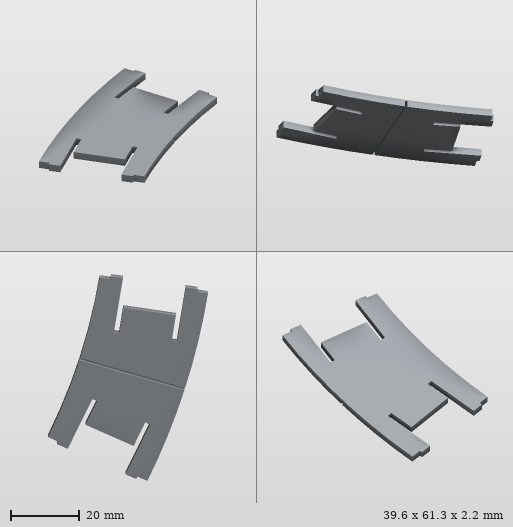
import cadquery as cq
import math

thickness = 2.2
sweep = 16.2
ring_width = 32.25
length_y = 61.3
step_height = 0.85
outer_radius = (length_y - step_height) / math.sin(math.radians(sweep))
inner_radius = outer_radius - ring_width
length_x = outer_radius - inner_radius * math.cos(math.radians(sweep))

leg_inner_edge = 6.75
gap_span = 18.7
slit_width = 1.55
tongue_setback = 8.15
slit_end = 16.25
step_width = 3.5

groove_width = 0.75
groove_depth = 1.85
rim_overrun = 0.6

center_x = outer_radius - length_x / 2
center_y = step_height - length_y / 2


def ring_point(radius, angle):
    """Point on the ring, angle measured clockwise from -X."""
    a = math.radians(angle)
    return (-radius * math.cos(a), radius * math.sin(a))


def box(x_min, x_max, y_min, y_max, height=thickness):
    """Block with its base on the plate's underside."""
    return cq.Workplane("XY").box(
        x_max - x_min, y_max - y_min, height, centered=False
    ).translate((x_min, y_min, 0))


def at_upper_end(shape):
    """Mirror a lower-end feature about the middle radius line."""
    return shape.mirror("XZ").rotate((0, 0, 0), (0, 0, 1), -sweep)


def ring_sector():
    """Plain plate between the two rims and the two end faces."""
    return (
        cq.Workplane("XY")
        .moveTo(*ring_point(outer_radius, 0))
        .threePointArc(ring_point(outer_radius, sweep / 2), ring_point(outer_radius, sweep))
        .lineTo(*ring_point(inner_radius, sweep))
        .threePointArc(ring_point(inner_radius, sweep / 2), ring_point(inner_radius, 0))
        .close()
        .extrude(thickness)
    )


gap_left = -outer_radius + leg_inner_edge
gap_right = gap_left + gap_span


def end_gap():
    """Space between the legs, deepened to a slit on each side of the tongue."""
    gap = box(gap_left, gap_right, 0, tongue_setback)
    for x_min in (gap_left, gap_right - slit_width):
        gap = gap.union(box(x_min, x_min + slit_width, 0, slit_end))
    return gap


def leg_steps():
    """Projecting ends on the legs, each beside the gap."""
    left_step = box(gap_left - step_width, gap_left, -step_height, step_height)
    right_step = box(gap_right, gap_right + step_width, -step_height, step_height)
    return left_step, right_step


def groove():
    """Shallow bar reaching from rim to rim."""
    bar = box(
        -outer_radius - rim_overrun,
        -inner_radius + rim_overrun,
        -groove_width / 2,
        groove_width / 2,
        groove_depth,
    )
    return bar.rotate((0, 0, 0), (0, 0, 1), -sweep / 2)


plate = ring_sector()
for step in leg_steps():
    plate = plate.union(step).union(at_upper_end(step))
plate = plate.cut(end_gap()).cut(at_upper_end(end_gap())).cut(groove())

result = plate.translate((center_x, center_y, -thickness / 2))